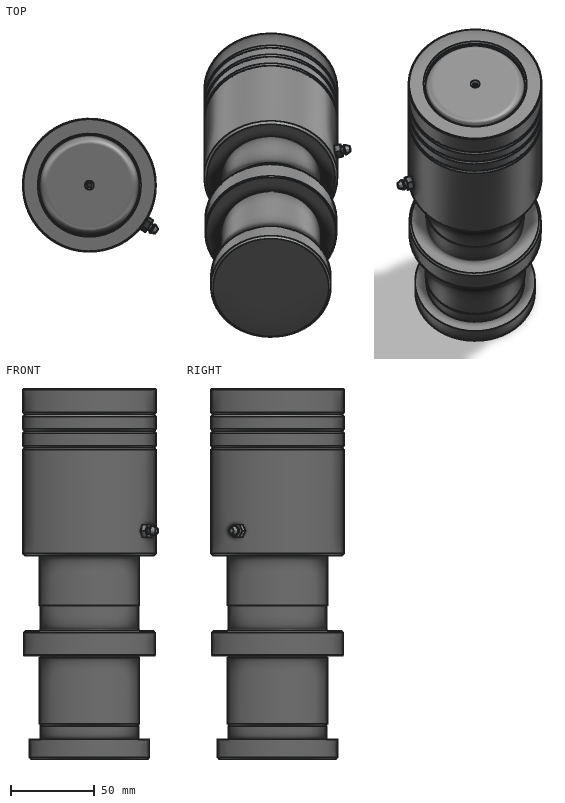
import cadquery as cq
import math

TOTAL_HEIGHT = 222.0

BUSHING_RADIUS = 40.0
BUSHING_LENGTH = 100.0
BUSHING_TOP_CHAMFER = 0.5
BUSHING_BOTTOM_CHAMFER = 1.5
BORE_CHAMFER = 1.0
GROOVE_COUNT = 3
GROOVE_PITCH = 10.0
FIRST_GROOVE_BELOW_TOP = 15.25
GROOVE_WIDTH = 2.6
GROOVE_DEPTH = 1.3

POST_RADIUS = 30.0
POST_TOP_FILLET = 5.0
POST_BOTTOM_CHAMFER = 1.5
NECK_RADIUS = 29.5
UPPER_NECK_TOP_Z = 92.0
COLLAR_RADIUS = 39.5
COLLAR_BOTTOM_Z = 62.0
COLLAR_TOP_Z = 77.0
COLLAR_TOP_CHAMFER = 1.2
COLLAR_BOTTOM_CHAMFER = 0.7
NECK_FILLET = 1.0
LOWER_NECK_HEIGHT = 1.0
CENTRE_HOLE_RADIUS = 1.5
CENTRE_HOLE_DEPTH = 6.0
CENTRE_SINK_RADIUS = 2.7

DISC_RADIUS = 36.0
DISC_THICKNESS = 12.0
DISC_BOTTOM_CHAMFER = 1.3
SPIGOT_RADIUS = 29.5
SPIGOT_HEIGHT = 8.0

NIPPLE_ANGLE = -34.5
NIPPLE_HEIGHT_ABOVE_BUSHING_BOTTOM = 15.0
THREAD_RADIUS = 3.0
THREAD_LENGTH = 5.0
HEX_ACROSS_FLATS = 7.5
HEX_HEIGHT = 3.6
NIPPLE_NECK_RADIUS = 2.2
NIPPLE_NECK_HEIGHT = 1.5
HEAD_RADIUS = 3.0
HEAD_FLARE_HEIGHT = 0.5
HEAD_BAND_HEIGHT = 0.6
HEAD_TAPER_HEIGHT = 2.7
TIP_RADIUS = 1.7

BUSHING_BOTTOM_Z = TOTAL_HEIGHT - BUSHING_LENGTH
POST_BOTTOM_Z = DISC_THICKNESS + SPIGOT_HEIGHT
NIPPLE_Z = BUSHING_BOTTOM_Z + NIPPLE_HEIGHT_ABOVE_BUSHING_BOTTOM
STEP = POST_RADIUS - NECK_RADIUS


def cylinder(radius, bottom_z, top_z):
    """Upright cylinder on the Z axis."""
    return cq.Workplane("XY").workplane(offset=bottom_z).circle(radius).extrude(top_z - bottom_z)


def along_nipple(shape):
    """Move a shape built up the Z axis so that it points outward from the bushing surface."""
    direction = math.radians(NIPPLE_ANGLE)
    seat = (
        BUSHING_RADIUS * math.cos(direction),
        BUSHING_RADIUS * math.sin(direction),
        NIPPLE_Z,
    )
    return (
        shape.rotate((0, 0, 0), (0, 1, 0), 90)
        .rotate((0, 0, 0), (0, 0, 1), NIPPLE_ANGLE)
        .translate(seat)
    )


def nipple_thread():
    """Plain shank of the nipple, ending at the bushing surface."""
    return along_nipple(cylinder(THREAD_RADIUS, -THREAD_LENGTH, 0))


def v_groove(centre_z):
    """Ring with a triangular section that cuts a V groove round the bushing."""
    half_width = GROOVE_WIDTH / 2
    return (
        cq.Workplane("XZ")
        .moveTo(BUSHING_RADIUS, centre_z - half_width)
        .lineTo(BUSHING_RADIUS, centre_z + half_width)
        .lineTo(BUSHING_RADIUS - GROOVE_DEPTH, centre_z)
        .close()
        .revolve(360, (0, 0, 0), (0, 1, 0))
    )


def make_bushing():
    body = cylinder(BUSHING_RADIUS, BUSHING_BOTTOM_Z, TOTAL_HEIGHT)
    body = body.faces(">Z").chamfer(BUSHING_TOP_CHAMFER)
    body = body.faces("<Z").chamfer(BUSHING_BOTTOM_CHAMFER)
    body = body.cut(cylinder(POST_RADIUS, BUSHING_BOTTOM_Z, TOTAL_HEIGHT))
    body = body.faces(">Z").edges(cq.selectors.RadiusNthSelector(0)).chamfer(BORE_CHAMFER)
    for index in range(GROOVE_COUNT):
        below_top = FIRST_GROOVE_BELOW_TOP + index * GROOVE_PITCH
        body = body.cut(v_groove(TOTAL_HEIGHT - below_top))
    return body.cut(nipple_thread())


def make_post():
    lower_neck_bottom_z = COLLAR_BOTTOM_Z - LOWER_NECK_HEIGHT
    profile = (
        cq.Workplane("XZ")
        .moveTo(0, POST_BOTTOM_Z)
        .lineTo(POST_RADIUS - POST_BOTTOM_CHAMFER, POST_BOTTOM_Z)
        .lineTo(POST_RADIUS, POST_BOTTOM_Z + POST_BOTTOM_CHAMFER)
        .lineTo(POST_RADIUS, lower_neck_bottom_z)
        .lineTo(NECK_RADIUS, lower_neck_bottom_z)
        .lineTo(NECK_RADIUS, COLLAR_BOTTOM_Z)
        .lineTo(COLLAR_RADIUS - COLLAR_BOTTOM_CHAMFER, COLLAR_BOTTOM_Z)
        .lineTo(COLLAR_RADIUS, COLLAR_BOTTOM_Z + COLLAR_BOTTOM_CHAMFER)
        .lineTo(COLLAR_RADIUS, COLLAR_TOP_Z - COLLAR_TOP_CHAMFER)
        .lineTo(COLLAR_RADIUS - COLLAR_TOP_CHAMFER, COLLAR_TOP_Z)
        .lineTo(NECK_RADIUS + NECK_FILLET, COLLAR_TOP_Z)
        .radiusArc((NECK_RADIUS, COLLAR_TOP_Z + NECK_FILLET), NECK_FILLET)
        .lineTo(NECK_RADIUS, UPPER_NECK_TOP_Z)
        .lineTo(POST_RADIUS, UPPER_NECK_TOP_Z + STEP)
        .lineTo(POST_RADIUS, TOTAL_HEIGHT - POST_TOP_FILLET)
        .radiusArc((POST_RADIUS - POST_TOP_FILLET, TOTAL_HEIGHT), -POST_TOP_FILLET)
        .lineTo(0, TOTAL_HEIGHT)
        .close()
    )
    body = profile.revolve(360, (0, 0, 0), (0, 1, 0))
    return body.cut(centre_hole())


def centre_hole():
    """Countersunk centre hole in the top of the post."""
    sink_depth = CENTRE_SINK_RADIUS - CENTRE_HOLE_RADIUS
    return (
        cq.Workplane("XZ")
        .moveTo(0, TOTAL_HEIGHT)
        .lineTo(CENTRE_SINK_RADIUS, TOTAL_HEIGHT)
        .lineTo(CENTRE_HOLE_RADIUS, TOTAL_HEIGHT - sink_depth)
        .lineTo(CENTRE_HOLE_RADIUS, TOTAL_HEIGHT - CENTRE_HOLE_DEPTH)
        .lineTo(0, TOTAL_HEIGHT - CENTRE_HOLE_DEPTH)
        .close()
        .revolve(360, (0, 0, 0), (0, 1, 0))
    )


def make_clamp_disc():
    disc = cylinder(DISC_RADIUS, 0, DISC_THICKNESS).faces("<Z").chamfer(DISC_BOTTOM_CHAMFER)
    return disc.union(cylinder(SPIGOT_RADIUS, DISC_THICKNESS, POST_BOTTOM_Z))


def make_nipple():
    neck_top = HEX_HEIGHT + NIPPLE_NECK_HEIGHT
    flare_top = neck_top + HEAD_FLARE_HEIGHT
    band_top = flare_top + HEAD_BAND_HEIGHT
    tip = band_top + HEAD_TAPER_HEIGHT
    across_corners = HEX_ACROSS_FLATS / math.cos(math.radians(30))
    hexagon = cq.Workplane("XY").polygon(6, across_corners).extrude(HEX_HEIGHT)
    hexagon = hexagon.rotate((0, 0, 0), (0, 0, 1), 90)
    head = (
        cq.Workplane("XZ")
        .moveTo(0, 0)
        .lineTo(NIPPLE_NECK_RADIUS, 0)
        .lineTo(NIPPLE_NECK_RADIUS, neck_top)
        .lineTo(HEAD_RADIUS, flare_top)
        .lineTo(HEAD_RADIUS, band_top)
        .lineTo(TIP_RADIUS, tip)
        .lineTo(0, tip)
        .close()
        .revolve(360, (0, 0, 0), (0, 1, 0))
    )
    return nipple_thread().union(along_nipple(hexagon.union(head)))


bushing = make_bushing()
post = make_post()
clamp_disc = make_clamp_disc()
nipple = make_nipple()

result = cq.Compound.makeCompound([bushing.val(), post.val(), clamp_disc.val(), nipple.val()])